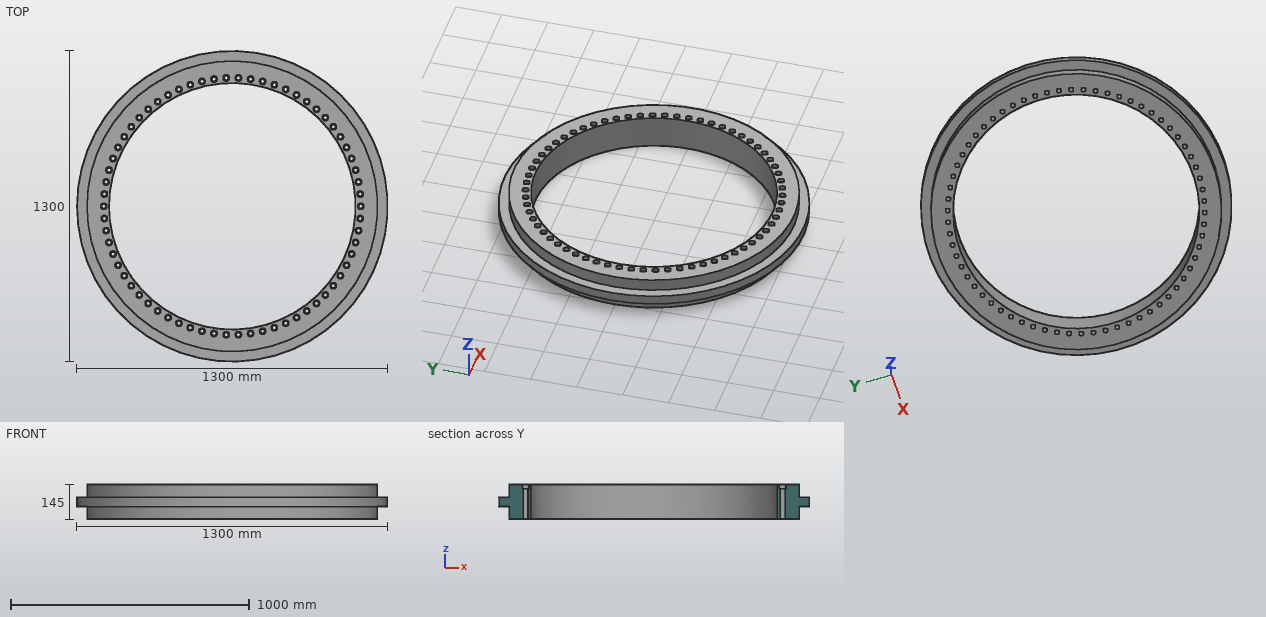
import cadquery as cq

flange_diameter = 1300.0
body_diameter = 1215.0
bore_diameter = 1030.0
height = 145.0

flange_thickness = 40.0
flange_bottom = (height - flange_thickness) / 2
flange_top = flange_bottom + flange_thickness

bolt_circle_diameter = 1075.0
bolt_hole_diameter = 18.5
counterbore_diameter = 26.0
counterbore_depth = 17.0
bolt_hole_count = 66
first_hole_angle = 180.0


def make_ring():
    """Bored ring with its flange, revolved around Z from a section on the -X side."""
    bore_x = -bore_diameter / 2
    body_x = -body_diameter / 2
    flange_x = -flange_diameter / 2
    section = [
        (bore_x, 0),
        (body_x, 0),
        (body_x, flange_bottom),
        (flange_x, flange_bottom),
        (flange_x, flange_top),
        (body_x, flange_top),
        (body_x, height),
        (bore_x, height),
    ]
    return cq.Workplane("XZ").polyline(section).close().revolve(360, (0, 0), (0, 1))


def cut_bolt_holes(ring):
    """Cut the through holes, counterbored from the top face."""
    return (
        ring.faces(">Z")
        .workplane(origin=(0, 0, height))
        .polarArray(
            bolt_circle_diameter / 2, first_hole_angle, 360, bolt_hole_count, rotate=False
        )
        .cboreHole(bolt_hole_diameter, counterbore_diameter, counterbore_depth)
    )


result = cut_bolt_holes(make_ring())